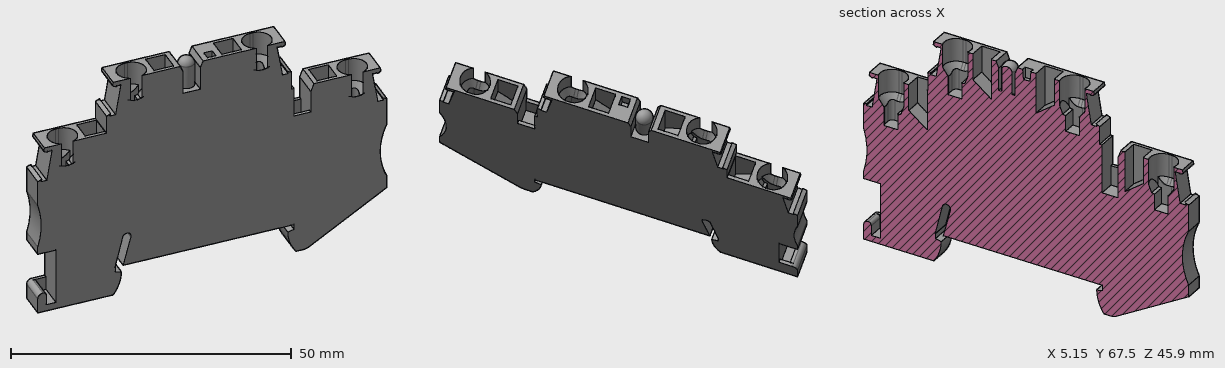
import cadquery as cq
import math


LENGTH = 67.55
THICKNESS = 5.15
INNER_WIDTH = 3.85
UPPER_TOP = 45.9
LOWER_TOP = 35.25
HALF_LENGTH = LENGTH / 2

UPPER_EDGE_BACK = 15.35
UPPER_EDGE_FRONT = -20.5
LEDGE_DROP = 7.1
LEDGE_CORNER_DROP = 6.95
BEAD_TIP_DROP = 6.6
LIP_HEIGHT = 0.95

WIRE_OFFSET = 5.75
FUNNEL_X = 0.3
FUNNEL_RADIUS = 2.4
FUNNEL_TIP_RADIUS = 1.0
FUNNEL_STRETCH = 0.6
FUNNEL_RIM_DEPTH = 4.7
FUNNEL_ANGLE = 57
FUNNEL_FLAT_ANGLE = 69

THROAT_X = 0.1
THROAT_WIDTH = 2.85
THROAT_OUTER_REACH = 1.55
THROAT_INNER_REACH = 1.35
THROAT_CORNER = 0.9
SHELF_WIDTH = 0.6
SHELF_ANGLE = 12
THROAT_DEPTH = 10.1

POCKET_START = 9.45
POCKET_LENGTH = 3.8
POCKET_SHALLOW_DEPTH = 5.4
POCKET_FLOOR_ANGLE = 37

BRIDGE_BACK = 19.05
BRIDGE_FRONT = 15.8
BRIDGE_FLOOR = 29.3
BRIDGE_CHAMFER_WIDTH = 0.6
BRIDGE_CHAMFER_HEIGHT = 1.55
BRIDGE_RECESS_DEPTH = 4.05

PIN_Y = -4.0
PIN_RADIUS = 1.55
PIN_DOME_HEIGHT = 1.3
PIN_SLOT_WIDTH = 3.3
PIN_SLOT_FLOOR = 39.9
PIN_CHAMFER_WIDTH = 0.55
PIN_CHAMFER_HEIGHT = 1.3

TEST_X = 1.1
TEST_Y = 0.15
TEST_SIZE = 1.6
TEST_BOTTOM_SIZE = 1.3
TEST_DEPTH = 2.0

RAIL_TOP = 5.9
RAIL_BACK = 15.8
RAIL_FRONT = -18.8
HOOK_TOP = 4.85
HOOK_LIP = 4.6
HOOK_REACH = 1.2
HOOK_BULGE_INSET = 0.9
HOOK_BULGE_Z = 2.4
FOOT_CORNER_BACK = 16.15
FOOT_CORNER_FRONT = -19.2
FOOT_HEEL_BACK = 18.2
FOOT_BLEND = 2.7
BACK_WALL_BOTTOM = 9.1

SLIT_RADIUS = 0.8
SLIT_TOP_Y = -16.55
SLIT_TOP_Z = 11.8
SLIT_BOTTOM_Y = -18.05

BACK_GRIP_TOP = 22.8
BACK_GRIP_BOTTOM = 11.6
BACK_GRIP_DEPTH = 1.3
FRONT_GRIP_TOP = 23.2
FRONT_GRIP_BOTTOM = 14.25
FRONT_GRIP_DEPTH = 0.7
WINDOW_TOP = 12.6
WINDOW_BOTTOM = 4.05
WINDOW_DEPTH = 3.5
WINDOW_NOSE_RADIUS = 1.0
WINDOW_NOSE_BACK_RADIUS = 0.7
WINDOW_RECESS_BOTTOM = 1.35

TERMINALS = [
    (HALF_LENGTH, LOWER_TOP, -1),
    (UPPER_EDGE_BACK, UPPER_TOP, -1),
    (UPPER_EDGE_FRONT, UPPER_TOP, 1),
    (-HALF_LENGTH, LOWER_TOP, 1),
]


def terminal_end(edge, top, inward):
    """Stepped end of a terminal in (Y, Z), from the ledge edge up to the marker lip."""
    inset_and_drop = [
        (0, LEDGE_CORNER_DROP),
        (0.8, BEAD_TIP_DROP),
        (0.7, LEDGE_DROP),
        (1.75, LEDGE_DROP),
        (2.8, LIP_HEIGHT),
        (1.95, LIP_HEIGHT),
        (1.8, LIP_HEIGHT + 0.15),
        (1.35, LIP_HEIGHT - 0.1),
        (1.15, LIP_HEIGHT - 0.3),
        (1.3, 0),
    ]
    return [(edge + inward * inset, top - drop) for inset, drop in inset_and_drop]


def plate():
    """Silhouette of the block extruded over its thickness."""
    back_lower, back_upper, front_upper, front_lower = [terminal_end(*t) for t in TERMINALS]
    upper_surface = (
        back_lower
        + [
            (BRIDGE_BACK + BRIDGE_CHAMFER_WIDTH, LOWER_TOP),
            (BRIDGE_BACK, LOWER_TOP - BRIDGE_CHAMFER_HEIGHT),
            (BRIDGE_BACK, BRIDGE_FLOOR),
            (BRIDGE_FRONT, BRIDGE_FLOOR),
            (BRIDGE_FRONT, LOWER_TOP),
            (UPPER_EDGE_BACK, LOWER_TOP),
        ]
        + back_upper
        + front_upper[::-1]
        + [(UPPER_EDGE_FRONT, LOWER_TOP)]
        + front_lower[::-1]
    )
    front_grip_middle = (FRONT_GRIP_TOP + FRONT_GRIP_BOTTOM) / 2
    back_grip_middle = (BACK_GRIP_TOP + BACK_GRIP_BOTTOM) / 2
    nose_inset = WINDOW_NOSE_RADIUS * (1 - math.sqrt(0.5))
    outline = (
        cq.Workplane("YZ", origin=(-THICKNESS / 2, 0, 0))
        .polyline(upper_surface)
        .lineTo(-HALF_LENGTH, FRONT_GRIP_TOP)
        .threePointArc(
            (-HALF_LENGTH + FRONT_GRIP_DEPTH, front_grip_middle), (-HALF_LENGTH, FRONT_GRIP_BOTTOM)
        )
        .lineTo(-HALF_LENGTH, WINDOW_TOP)
        .lineTo(-HALF_LENGTH + WINDOW_DEPTH, WINDOW_TOP)
        .lineTo(-HALF_LENGTH + WINDOW_DEPTH, WINDOW_BOTTOM)
        .lineTo(-HALF_LENGTH + WINDOW_NOSE_RADIUS, WINDOW_BOTTOM)
        .threePointArc(
            (-HALF_LENGTH + nose_inset, WINDOW_BOTTOM - nose_inset),
            (-HALF_LENGTH, WINDOW_BOTTOM - WINDOW_NOSE_RADIUS),
        )
        .lineTo(-HALF_LENGTH, 0)
        .lineTo(FOOT_CORNER_FRONT, 0)
        .threePointArc(
            (RAIL_FRONT + HOOK_BULGE_INSET, HOOK_BULGE_Z), (RAIL_FRONT + HOOK_REACH, HOOK_LIP)
        )
        .lineTo(RAIL_FRONT, HOOK_TOP)
        .lineTo(RAIL_FRONT, RAIL_TOP)
        .lineTo(RAIL_BACK, RAIL_TOP)
        .lineTo(RAIL_BACK, HOOK_TOP)
        .lineTo(RAIL_BACK - HOOK_REACH, HOOK_LIP)
        .threePointArc((RAIL_BACK - HOOK_BULGE_INSET, HOOK_BULGE_Z), (FOOT_CORNER_BACK, 0))
        .lineTo(FOOT_HEEL_BACK, 0)
        .lineTo(HALF_LENGTH, BACK_WALL_BOTTOM)
        .lineTo(HALF_LENGTH, BACK_GRIP_BOTTOM)
        .threePointArc(
            (HALF_LENGTH - BACK_GRIP_DEPTH, back_grip_middle), (HALF_LENGTH, BACK_GRIP_TOP)
        )
        .close()
    )
    body = outline.extrude(THICKNESS)
    heel_edge = cq.selectors.NearestToPointSelector((0, FOOT_HEEL_BACK, 0))
    return body.edges("|X").edges(heel_edge).fillet(FOOT_BLEND)


def prism(points, x_start, width):
    """Solid with a (Y, Z) outline, running from x_start along +X."""
    return cq.Workplane("YZ", origin=(x_start, 0, 0)).polyline(points).close().extrude(width)


def spring_slit():
    """Slanted slit with a round top that frees the front hook."""
    lean = math.atan2(SLIT_TOP_Y - SLIT_BOTTOM_Y, SLIT_TOP_Z - RAIL_TOP)
    side_y = SLIT_RADIUS * math.cos(lean)
    side_z = SLIT_RADIUS * math.sin(lean)
    return (
        cq.Workplane("YZ", origin=(-THICKNESS / 2, 0, 0))
        .moveTo(SLIT_BOTTOM_Y - side_y, RAIL_TOP)
        .lineTo(SLIT_TOP_Y - side_y, SLIT_TOP_Z + side_z)
        .threePointArc(
            (SLIT_TOP_Y + side_z, SLIT_TOP_Z + side_y), (SLIT_TOP_Y + side_y, SLIT_TOP_Z - side_z)
        )
        .lineTo(SLIT_BOTTOM_Y + side_y, RAIL_TOP)
        .close()
        .extrude(THICKNESS)
    )


def funnel_column(axis_y, top, depth, taper=0):
    """Stretched round column reaching down from top, narrowing by the taper angle."""
    return (
        cq.Workplane("XY", origin=(FUNNEL_X, axis_y, top))
        .slot2D(2 * FUNNEL_RADIUS + FUNNEL_STRETCH, 2 * FUNNEL_RADIUS, 90)
        .extrude(-depth, taper=taper)
    )


def wire_funnel(edge, top, inward):
    """Stretched conical wire entry with a flat toward the pocket, ending in a square throat."""
    axis_y = edge + inward * WIRE_OFFSET
    funnel_reach = FUNNEL_RADIUS + FUNNEL_STRETCH / 2
    shelf_reach = THROAT_INNER_REACH + SHELF_WIDTH
    rim_bottom = top - FUNNEL_RIM_DEPTH
    cone_height = (FUNNEL_RADIUS - FUNNEL_TIP_RADIUS) * math.tan(math.radians(FUNNEL_ANGLE))
    shelf_outer = rim_bottom - (funnel_reach - shelf_reach) * math.tan(math.radians(FUNNEL_FLAT_ANGLE))
    shelf_inner = shelf_outer - SHELF_WIDTH * math.tan(math.radians(SHELF_ANGLE))
    throat_bottom = top - THROAT_DEPTH

    rim = funnel_column(axis_y, top, FUNNEL_RIM_DEPTH)
    cone = funnel_column(axis_y, rim_bottom, cone_height, taper=90 - FUNNEL_ANGLE)
    throat_outline = [
        (-THROAT_OUTER_REACH, top),
        (funnel_reach, top),
        (funnel_reach, rim_bottom),
        (shelf_reach, shelf_outer),
        (THROAT_INNER_REACH, shelf_inner),
        (THROAT_INNER_REACH, throat_bottom),
        (-THROAT_OUTER_REACH, throat_bottom),
    ]
    throat = (
        prism(
            [(axis_y + inward * reach, z) for reach, z in throat_outline],
            THROAT_X - THROAT_WIDTH / 2,
            THROAT_WIDTH,
        )
        .edges("|Z")
        .edges("<Y" if inward > 0 else ">Y")
        .fillet(THROAT_CORNER)
    )
    throat = throat.intersect(funnel_column(axis_y, top, THROAT_DEPTH))
    return rim.union(cone).union(throat)


def screwdriver_pocket(edge, top, inward):
    """Square pocket whose floor falls away from the wire funnel."""
    near = edge + inward * POCKET_START
    far = near + inward * POCKET_LENGTH
    shallow = top - POCKET_SHALLOW_DEPTH
    deep = shallow - POCKET_LENGTH * math.tan(math.radians(POCKET_FLOOR_ANGLE))
    return prism([(near, top), (far, top), (far, deep), (near, shallow)], -INNER_WIDTH / 2, INNER_WIDTH)


def bridge_recess():
    """Deeper channel in the bridge slot floor, between two thin side walls."""
    bottom = BRIDGE_FLOOR - BRIDGE_RECESS_DEPTH
    return prism(
        [
            (BRIDGE_FRONT, BRIDGE_FLOOR),
            (BRIDGE_BACK, BRIDGE_FLOOR),
            (BRIDGE_BACK, bottom),
            (BRIDGE_FRONT, bottom),
        ],
        -INNER_WIDTH / 2,
        INNER_WIDTH,
    )


def window_recess():
    """Deeper trough behind the window nose, open at +X and closed by a thin wall at -X."""
    back = -HALF_LENGTH + WINDOW_DEPTH
    crest = -HALF_LENGTH + WINDOW_NOSE_RADIUS
    nose_back = crest + WINDOW_NOSE_BACK_RADIUS
    arc_inset = WINDOW_NOSE_BACK_RADIUS * (1 - math.sqrt(0.5))
    return (
        cq.Workplane("YZ", origin=(-INNER_WIDTH / 2, 0, 0))
        .moveTo(back, WINDOW_BOTTOM)
        .lineTo(crest, WINDOW_BOTTOM)
        .threePointArc(
            (nose_back - arc_inset, WINDOW_BOTTOM - arc_inset),
            (nose_back, WINDOW_BOTTOM - WINDOW_NOSE_BACK_RADIUS),
        )
        .lineTo(nose_back, WINDOW_RECESS_BOTTOM)
        .lineTo(back, WINDOW_RECESS_BOTTOM)
        .close()
        .extrude((THICKNESS + INNER_WIDTH) / 2)
    )


def pin_slot():
    """Slot across the upper platform with chamfered mouth."""
    half_slot = PIN_SLOT_WIDTH / 2
    half_mouth = half_slot + PIN_CHAMFER_WIDTH
    chamfer_bottom = UPPER_TOP - PIN_CHAMFER_HEIGHT
    return prism(
        [
            (PIN_Y - half_mouth, UPPER_TOP),
            (PIN_Y - half_slot, chamfer_bottom),
            (PIN_Y - half_slot, PIN_SLOT_FLOOR),
            (PIN_Y + half_slot, PIN_SLOT_FLOOR),
            (PIN_Y + half_slot, chamfer_bottom),
            (PIN_Y + half_mouth, UPPER_TOP),
        ],
        -THICKNESS / 2,
        THICKNESS,
    )


def pin():
    """Domed round pin standing on the pin slot floor."""
    dome_base = UPPER_TOP - PIN_DOME_HEIGHT
    dome_radius = (PIN_RADIUS**2 + PIN_DOME_HEIGHT**2) / (2 * PIN_DOME_HEIGHT)
    half_angle = math.asin(PIN_RADIUS / dome_radius) / 2
    arc_middle = (
        dome_radius * math.sin(half_angle),
        UPPER_TOP - dome_radius * (1 - math.cos(half_angle)),
    )
    return (
        cq.Workplane("XZ")
        .moveTo(0, PIN_SLOT_FLOOR)
        .lineTo(PIN_RADIUS, PIN_SLOT_FLOOR)
        .lineTo(PIN_RADIUS, dome_base)
        .threePointArc(arc_middle, (0, UPPER_TOP))
        .close()
        .revolve(360, (0, 0), (0, 1))
        .translate((0, PIN_Y, 0))
    )


def test_opening():
    """Small square opening narrowing toward its floor."""
    return (
        cq.Workplane("XY", origin=(TEST_X, TEST_Y, UPPER_TOP))
        .rect(TEST_SIZE, TEST_SIZE)
        .workplane(offset=-TEST_DEPTH)
        .rect(TEST_BOTTOM_SIZE, TEST_BOTTOM_SIZE)
        .loft()
    )


result = plate()
for opening in (spring_slit(), bridge_recess(), window_recess(), pin_slot(), test_opening()):
    result = result.cut(opening)
for terminal in TERMINALS:
    result = result.cut(wire_funnel(*terminal)).cut(screwdriver_pocket(*terminal))
result = result.union(pin())